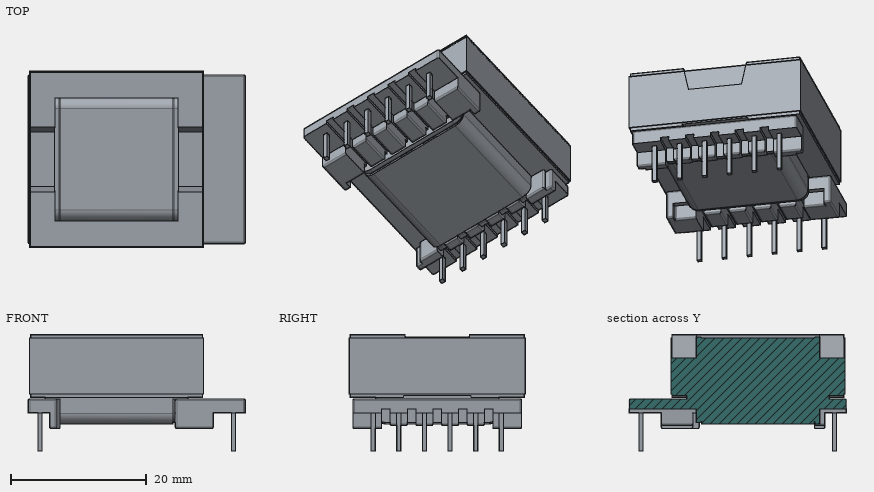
import cadquery as cq

tape_length = 25.65
tape_width = 25.95
tape_thickness = 0.15
core_length = tape_length - 2 * tape_thickness
core_width = tape_width - 2 * tape_thickness
core_top = 17.2
core_bottom = 7.95
tape_margin = 0.48
window_length = 18.1
window_width = 18.12

top_slot_half_width = 4.77
top_slot_floor_half_width = 4.0
top_slot_depth = 3.45
bottom_slot_half_width = 5.03
bottom_slot_floor_half_width = 4.93
bottom_slot_depth = 0.25

coil_half_length = 8.3
coil_top = 16.68
coil_bottom = 4.0
coil_round = 1.57
flange_outer = 9.12
flange_top = 16.85
left_flange_bottom = coil_bottom
right_flange_bottom = 4.23
flange_edge_round = 0.25
ledge_outer = 10.5

plate_width = 24.87
plate_top = 7.7
plate_bottom = 5.63
left_plate_outer = -13.03
left_plate_inner = -8.77
right_plate_outer = left_plate_outer + 32
right_plate_inner = 8.65
edge_round = 0.25

foot_bottom = 3.33
leg_bottom = 3.78
left_foot_outer = -9.85
right_foot_outer = 14.25
foot_rim = 1.02
right_foot_recess = 0.95

pin_count = 6
pin_pitch = 3.78
pin_side = 0.65
pin_inset = 1.75
wire_slot_width = 1.25
wire_slot_top = 6.2


def block(x0, x1, y0, y1, z0, z1):
    """Box between two corners; the X limits may come in either order."""
    size = (abs(x1 - x0), y1 - y0, z1 - z0)
    return cq.Workplane().box(*size).translate(((x0 + x1) / 2, (y0 + y1) / 2, (z0 + z1) / 2))


def centred_block(length, width, z0, z1):
    return block(-length / 2, length / 2, -width / 2, width / 2, z0, z1)


def core_slot(z_open, half_width, z_floor, floor_half_width):
    """Trapezoidal channel running along X through the whole core."""
    outline = [
        (-half_width, z_open),
        (half_width, z_open),
        (floor_half_width, z_floor),
        (-floor_half_width, z_floor),
    ]
    return cq.Workplane("YZ").polyline(outline).close().extrude(core_length / 2, both=True)


def make_core():
    core = centred_block(core_length, core_width, core_bottom, core_top)
    core = core.cut(centred_block(window_length, window_width, core_bottom, core_top))
    core = core.cut(
        core_slot(core_top, top_slot_half_width, core_top - top_slot_depth, top_slot_floor_half_width)
    )
    return core.cut(
        core_slot(
            core_bottom,
            bottom_slot_half_width,
            core_bottom + bottom_slot_depth,
            bottom_slot_floor_half_width,
        )
    )


def make_tape():
    z0 = core_bottom + tape_margin
    z1 = core_top - tape_margin
    outside = centred_block(tape_length, tape_width, z0, z1)
    return outside.cut(centred_block(core_length, core_width, z0, z1))


def make_winding():
    coil = centred_block(2 * coil_half_length, window_width, coil_bottom, coil_top)
    coil = coil.edges("|X").fillet(coil_round)
    ledge = centred_block(2 * ledge_outer, window_width, plate_top, core_bottom + bottom_slot_depth)
    winding = coil.union(ledge)
    half_width = window_width / 2
    flange_sides = ((-1, ">X", left_flange_bottom), (1, "<X", right_flange_bottom))
    for side, inner_face, flange_bottom in flange_sides:
        flange = block(
            side * coil_half_length, side * flange_outer, -half_width, half_width, flange_bottom, flange_top
        )
        flange = flange.edges("|X").fillet(coil_round)
        flange = flange.faces(inner_face).edges().fillet(flange_edge_round)
        winding = winding.union(flange)
    return winding


def make_plate(outer, inner):
    half_width = plate_width / 2
    plate = block(outer, inner, -half_width, half_width, plate_bottom, plate_top)
    return plate.edges("|Z or >Z").fillet(edge_round)


def make_foot(outer, rim_inner, inner):
    """Foot at the -Y end: a rim along its outer side and a body behind it."""
    y_outer = -plate_width / 2
    y_rim = y_outer + foot_rim
    y_inner = -(pin_count / 2 - 1) * pin_pitch - wire_slot_width / 2
    inner_side = ">X" if rim_inner > outer else "<X"
    inner_corner = "(<Y and " + inner_side + ")"
    rim = block(outer, rim_inner, y_outer, y_rim, foot_bottom, plate_top - edge_round)
    rim = rim.edges("(<Z exc >Y) or " + inner_corner).fillet(edge_round)
    body = block(outer, inner, y_rim, y_inner, foot_bottom, plate_top)
    body = body.edges("(<Z exc (<Y or >Y)) or " + inner_corner).fillet(edge_round)
    return rim.union(body)


def make_legs(outer, inner):
    """Legs behind the inner pins, between the wire slots."""
    leg_width = pin_pitch - wire_slot_width
    legs = cq.Workplane()
    for index in range(1, pin_count - 1):
        y = (index - (pin_count - 1) / 2) * pin_pitch
        leg = block(outer, inner, y - leg_width / 2, y + leg_width / 2, leg_bottom, plate_top)
        legs = legs.add(leg.edges("<Z").fillet(edge_round))
    return legs.combine()


def make_wire_slots(outer, side):
    slots = cq.Workplane()
    for index in range(pin_count - 1):
        y = (index - (pin_count - 2) / 2) * pin_pitch
        slots = slots.add(
            block(
                outer,
                side * flange_outer,
                y - wire_slot_width / 2,
                y + wire_slot_width / 2,
                foot_bottom,
                wire_slot_top,
            )
        )
    return slots.combine()


def make_pins(x):
    pin_row = cq.Workplane().rarray(0.32, pin_pitch, 1, pin_count)
    return pin_row.rect(pin_side, pin_side).extrude(plate_bottom + edge_round).translate((x, 0, 0))


def make_terminal_side(side, plate_outer, plate_inner, foot_outer, foot_inner):
    foot = make_foot(foot_outer, plate_inner, foot_inner)
    terminal = make_plate(plate_outer, plate_inner)
    terminal = terminal.union(foot).union(foot.mirror("XZ"))
    terminal = terminal.union(make_legs(foot_outer, foot_inner))
    terminal = terminal.cut(make_wire_slots(plate_outer, side))
    return terminal.union(make_pins(plate_outer - side * pin_inset))


left_terminals = make_terminal_side(
    -1, left_plate_outer, left_plate_inner, left_foot_outer, -coil_half_length
)
right_terminals = make_terminal_side(
    1, right_plate_outer, right_plate_inner, right_foot_outer, right_plate_inner + right_foot_recess
)

result = (
    make_core()
    .union(make_tape())
    .union(make_winding())
    .union(left_terminals)
    .union(right_terminals)
)